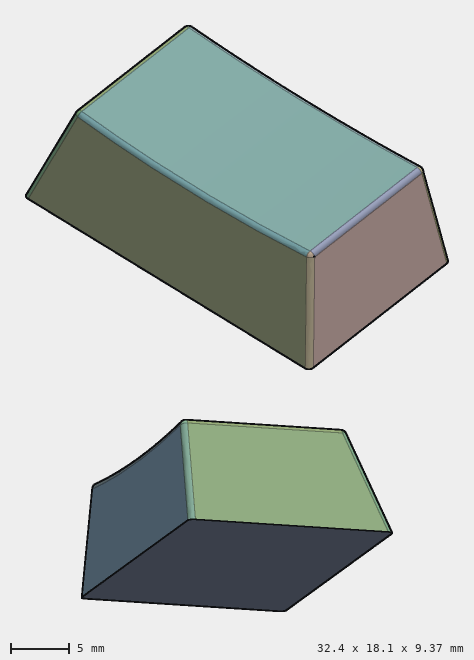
import cadquery as cq

length = 32.38
width = 18.1

wall_height = 9.4
side_lean = 2.85
front_lean = 3.4
back_lean = 0.13

dish_depth = 0.52
edge_radius = 0.52

top_length = length - 2 * side_lean
top_width = width - front_lean - back_lean
top_shift = (front_lean - back_lean) / 2
dish_radius = ((top_length / 2) ** 2 + dish_depth ** 2) / (2 * dish_depth)


def tapered_block():
    """Four planar walls leaning inward from the base."""
    return (
        cq.Workplane("XY")
        .rect(length, width)
        .workplane(offset=wall_height)
        .center(0, top_shift)
        .rect(top_length, top_width)
        .loft(ruled=True)
    )


def dish_cutter():
    """Cylinder whose lowest line sets the middle of the top."""
    return (
        cq.Workplane("XZ")
        .center(0, wall_height - dish_depth + dish_radius)
        .circle(dish_radius)
        .extrude(width, both=True)
    )


keycap = tapered_block().cut(dish_cutter())

result = keycap.edges("not(<Z)").fillet(edge_radius)